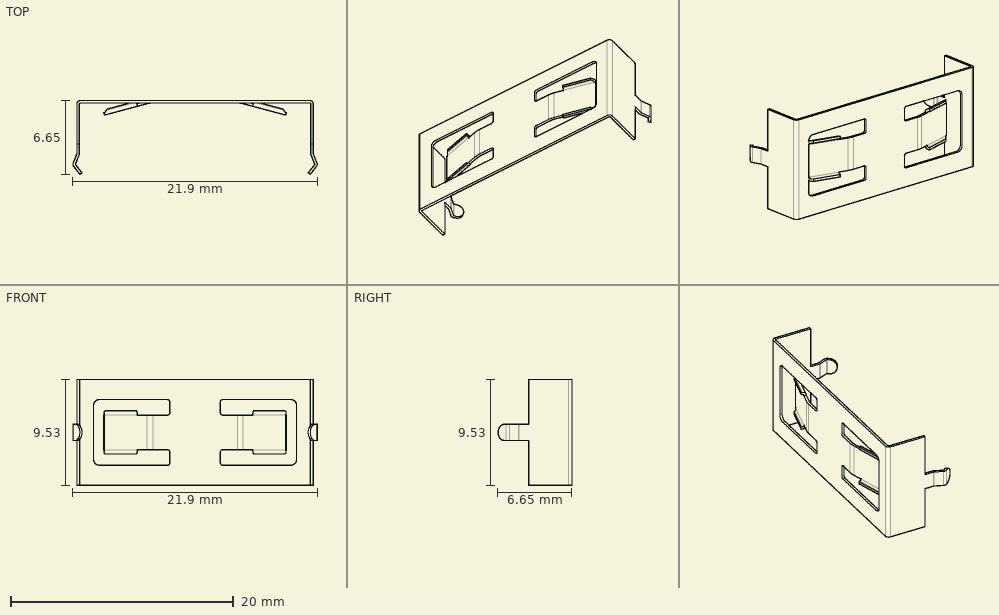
import cadquery as cq
import math

thickness = 0.25
clip_width = 21.95
clip_depth = 6.65
clip_height = 9.53
wall_half_width = 10.62
wall_depth = 3.9
bend_inner_radius = 0.09
bend_outer_radius = bend_inner_radius + thickness

window_outer_x = 9.1
window_inner_x = 2.28
window_height = 5.88
window_outer_radius = 0.5
window_inner_radius = 0.2

tongue_half_height = 1.55
tongue_bend_x = 3.8
tongue_tip_x = 8.15
tongue_angle = math.radians(15)
tongue_bend_radius = 2.0

wing_length = 3.07
wing_depth = 0.48
wing_radius = 0.4
wing_bevel_start = 0.15
wing_bevel_length = 0.4

tab_height = 1.5
tab_bend_depth = 4.79
tab_out_angle = math.radians(22)
tab_in_angle = math.radians(38)


def polar(center, radius, angle):
    """Point at a radius and angle (from +X) around a center."""
    return (center[0] + radius * math.cos(angle), center[1] + radius * math.sin(angle))


def prism(profile, height):
    """Extrude a closed XY profile along Z, centered on Z = 0."""
    return profile.close().extrude(height / 2, both=True)


def make_channel():
    """Back plate with a side wall folded forward at each end; back face at Y = 0."""
    outer = cq.Workplane("XY").box(
        2 * wall_half_width, wall_depth, clip_height, centered=(True, False, True)
    ).translate((0, -wall_depth, 0))
    inner = cq.Workplane("XY").box(
        2 * (wall_half_width - thickness), wall_depth, clip_height, centered=(True, False, True)
    ).translate((0, -wall_depth - thickness, 0))
    outer = outer.edges("|Z and >Y").fillet(bend_outer_radius)
    inner = inner.edges("|Z and >Y").fillet(bend_inner_radius)
    return outer.cut(inner)


def make_window():
    """U-shaped cutter that leaves the flat root of the left tongue in the plate."""
    length = window_outer_x - window_inner_x
    root_length = tongue_bend_x - window_inner_x
    window = cq.Workplane("XY").box(
        length, 2 * thickness, window_height, centered=(False, True, True)
    ).translate((-window_outer_x, -thickness / 2, 0))
    root = cq.Workplane("XY").box(
        root_length, 4 * thickness, 2 * tongue_half_height, centered=(False, True, True)
    ).translate((-tongue_bend_x, 0, 0))
    window = window.cut(root)
    window = window.edges("|Y and <X").fillet(window_outer_radius)
    return window.edges("|Y and >X").fillet(window_inner_radius)


tongue_bend_center = (-tongue_bend_x, -thickness - tongue_bend_radius)
tongue_bend_end = math.pi / 2 + tongue_angle
tongue_bend_middle = math.pi / 2 + tongue_angle / 2
tongue_back_radius = tongue_bend_radius + thickness
tongue_front_bend = polar(tongue_bend_center, tongue_bend_radius, tongue_bend_end)
tongue_front_tip = (
    -tongue_tip_x,
    tongue_front_bend[1] - (tongue_front_bend[0] + tongue_tip_x) * math.tan(tongue_angle),
)


def make_tongue():
    """Left tongue: bent forward out of the plate, then straight to its tip."""
    profile = (
        cq.Workplane("XY")
        .moveTo(-tongue_bend_x, -thickness)
        .threePointArc(
            polar(tongue_bend_center, tongue_bend_radius, tongue_bend_middle), tongue_front_bend
        )
        .lineTo(*tongue_front_tip)
        .lineTo(*polar(tongue_front_tip, thickness, tongue_bend_end))
        .lineTo(*polar(tongue_bend_center, tongue_back_radius, tongue_bend_end))
        .threePointArc(
            polar(tongue_bend_center, tongue_back_radius, tongue_bend_middle), (-tongue_bend_x, 0)
        )
    )
    return prism(profile, 2 * tongue_half_height)


def make_wing():
    """Upper wing: curls backward from the tongue edge, with a beveled tip corner."""
    along = cq.Vector(math.cos(tongue_angle), math.sin(tongue_angle), 0)
    backward = cq.Vector(-math.sin(tongue_angle), math.cos(tongue_angle), 0)
    tip = cq.Vector(*tongue_front_tip, 0)

    center = (wing_radius, tongue_half_height)
    inner_radius = wing_radius - thickness
    top = tongue_half_height + wing_radius
    arc_middle = math.radians(135)
    wing = (
        cq.Workplane(cq.Plane(origin=tip, xDir=backward, normal=along))
        .moveTo(0, tongue_half_height)
        .threePointArc(polar(center, wing_radius, arc_middle), (wing_radius, top))
        .lineTo(wing_depth, top)
        .lineTo(wing_depth, top - thickness)
        .lineTo(wing_radius, top - thickness)
        .threePointArc(polar(center, inner_radius, arc_middle), (thickness, tongue_half_height))
        .close()
        .extrude(wing_length)
    )
    bevel = (
        cq.Workplane(cq.Plane(origin=tip, xDir=along, normal=(0, 0, 1)))
        .moveTo(0, wing_bevel_start)
        .lineTo(0, wing_depth)
        .lineTo(wing_bevel_length, wing_depth)
        .close()
        .extrude(clip_height)
    )
    return wing.cut(bevel)


def make_tab():
    """Left snap tab: bent outward, then back inward to a half-round tip."""
    wall_x = -wall_half_width
    bend_center = (wall_x - bend_inner_radius, -tab_bend_depth)
    bend_end = polar(bend_center, bend_inner_radius, -tab_out_angle)

    knee_x = -clip_width / 2 + bend_outer_radius
    knee_y = bend_end[1] + (
        (knee_x - bend_end[0]) * math.cos(tab_out_angle) - bend_outer_radius
    ) / math.sin(tab_out_angle)
    knee_center = (knee_x, knee_y)
    knee_start = math.pi - tab_out_angle
    knee_end = math.pi + tab_in_angle
    knee_middle = (knee_start + knee_end) / 2

    knee_exit = polar(knee_center, bend_outer_radius, knee_end)
    tip_length = (knee_exit[1] + clip_depth) / math.cos(tab_in_angle)
    outer_tip = polar(knee_exit, tip_length, tab_in_angle - math.pi / 2)

    profile = (
        cq.Workplane("XY")
        .moveTo(wall_x, -wall_depth)
        .lineTo(wall_x, -tab_bend_depth)
        .threePointArc(polar(bend_center, bend_inner_radius, -tab_out_angle / 2), bend_end)
        .lineTo(*polar(knee_center, bend_outer_radius, knee_start))
        .threePointArc(polar(knee_center, bend_outer_radius, knee_middle), knee_exit)
        .lineTo(*outer_tip)
        .lineTo(*polar(outer_tip, thickness, tab_in_angle))
        .lineTo(*polar(knee_center, bend_inner_radius, knee_end))
        .threePointArc(
            polar(knee_center, bend_inner_radius, knee_middle),
            polar(knee_center, bend_inner_radius, knee_start),
        )
        .lineTo(*polar(bend_center, bend_outer_radius, -tab_out_angle))
        .threePointArc(
            polar(bend_center, bend_outer_radius, -tab_out_angle / 2),
            (wall_x + thickness, -tab_bend_depth),
        )
        .lineTo(wall_x + thickness, -wall_depth)
    )
    tab = prism(profile, tab_height)

    radius = tab_height / 2
    tip_plane = cq.Plane(
        origin=(*outer_tip, 0),
        xDir=(-math.sin(tab_in_angle), math.cos(tab_in_angle), 0),
        normal=(math.cos(tab_in_angle), math.sin(tab_in_angle), 0),
    )
    square = cq.Workplane(tip_plane).center(radius / 2, 0).rect(radius, tab_height)
    disc = cq.Workplane(tip_plane).center(radius, 0).circle(radius)
    trim = square.extrude(thickness, both=True).cut(disc.extrude(thickness, both=True))
    return tab.cut(trim)


window = make_window()
upper_wing = make_wing()
left_features = make_tongue().union(upper_wing).union(upper_wing.mirror("XY")).union(make_tab())

result = (
    make_channel()
    .cut(window)
    .cut(window.mirror("YZ"))
    .union(left_features)
    .union(left_features.mirror("YZ"))
)